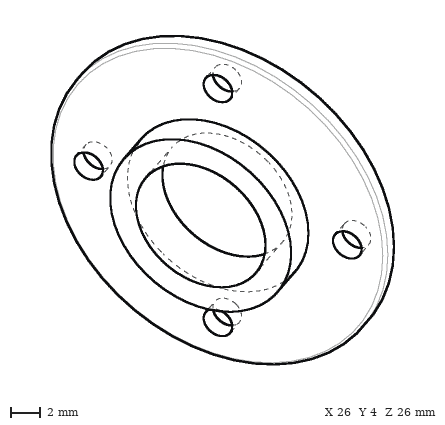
import cadquery as cq

flange_diameter = 26.0
total_depth = 4.0
flange_thickness = 1.4
edge_radius = 0.25

hub_diameter = 14.0
bore_diameter = 10.0

hole_count = 4
hole_diameter = 2.2
bolt_circle_diameter = 20.0


def disc(diameter, depth):
    """Solid disc from the rear face (Y = 0) forward towards -Y."""
    return cq.Workplane("XZ").circle(diameter / 2).extrude(depth)


def mounting_holes():
    """Cutters for the evenly spaced holes through the flange."""
    return (
        cq.Workplane("XZ")
        .polarArray(bolt_circle_diameter / 2, 0, 360, hole_count)
        .circle(hole_diameter / 2)
        .extrude(flange_thickness)
    )


flange = disc(flange_diameter, flange_thickness).edges("%CIRCLE").fillet(edge_radius)

body = flange.union(disc(hub_diameter, total_depth))

result = body.cut(disc(bore_diameter, total_depth)).cut(mounting_holes())